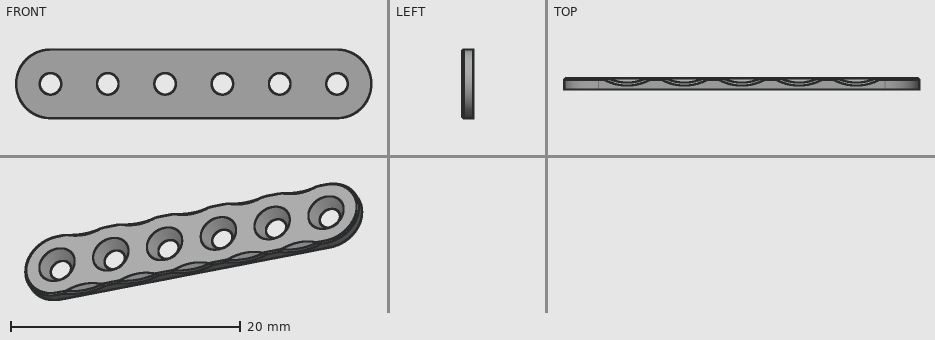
import cadquery as cq
import math

length = 31.0
thickness = 1.0
width = 6.0
hole_count = 6
hole_diameter = 1.85
rim_chamfer = 0.15

countersink_diameter = 3.3

scallop_depth = 0.5
scallop_half_width = 1.92
scallop_slope = 45.0
cutter_length = 12.4

tolerance = 0.003

half_width = width / 2
hole_pitch = (length - width) / (hole_count - 1)
rear_y = thickness / 2
front_y = -thickness / 2


def row_positions(count):
    """X positions of a centred row at the hole pitch."""
    return [(i - (count - 1) / 2) * hole_pitch for i in range(count)]


def make_plate():
    """Flat bar with fully rounded ends, standing in the XZ plane."""
    return (
        cq.Workplane("XZ")
        .slot2D(length, width)
        .extrude(rear_y, both=True)
    )


def make_scallop_cutter(x, side):
    """Cylinder whose lowest line slopes across the rear edge on one side (+1 or -1 in Z)."""
    slope = math.radians(scallop_slope)
    groove_depth = scallop_depth * math.cos(slope)
    radius = (scallop_half_width**2 + groove_depth**2) / (2 * groove_depth)
    axis = cq.Vector(0, -math.sin(slope), side * math.cos(slope))
    outward = cq.Vector(0, math.cos(slope), side * math.sin(slope))
    edge_point = cq.Vector(x, rear_y, side * half_width)
    center = edge_point + outward * (radius - groove_depth)
    start = center - axis * (cutter_length / 2)
    return cq.Solid.makeCylinder(radius, cutter_length, start, axis)


def on_rear_outline(edge):
    """True for an edge along the outer wall that does not bound the front face."""
    middle = edge.positionAt(0.5)
    beyond_centers = max(abs(middle.x) - (length / 2 - half_width), 0)
    on_wall = abs(math.hypot(beyond_centers, middle.z) - half_width) < tolerance
    return on_wall and middle.y > front_y + tolerance


def make_hole_cutter(x):
    """Conical through hole widening to the rear face."""
    rearward = cq.Vector(0, 1, 0)
    front_center = cq.Vector(x, front_y, 0)
    countersink = cq.Solid.makeCone(
        hole_diameter / 2,
        countersink_diameter / 2,
        thickness,
        front_center,
        rearward,
    )
    return cq.Workplane(countersink)


plate = make_plate()
for scallop_x in row_positions(hole_count - 1):
    for z_side in (1, -1):
        plate = plate.cut(cq.Workplane(make_scallop_cutter(scallop_x, z_side)))

plate = plate.edges("not |Y").filter(on_rear_outline).chamfer(rim_chamfer)

for hole_x in row_positions(hole_count):
    plate = plate.cut(make_hole_cutter(hole_x))

result = plate